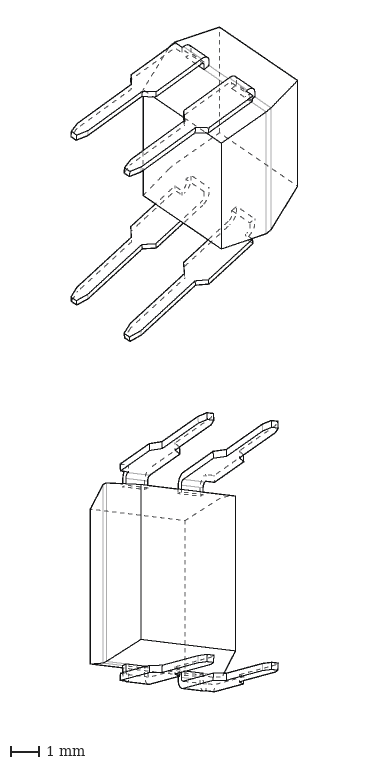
import cadquery as cq
import math

overall_height = 9.06
lead_reach = 6.30

housing_width = 4.6
housing_depth = 4.0
housing_length = 6.5
draft_angle = 13.0
band_thickness = 0.26

lead_thickness = band_thickness
lead_pitch = 2.54
splay_angle = math.radians(5.7)
bend_inner_radius = 0.175
bend_outer_radius = bend_inner_radius + lead_thickness

pin_width = 0.51
pin_tip_width = 0.26
pin_center = lead_pitch / 2
pin_inner_edge = pin_center - pin_width / 2
pin_outer_edge = pin_center + pin_width / 2
tip_inner_edge = pin_center - pin_tip_width / 2
tip_outer_edge = pin_center + pin_tip_width / 2
shoulder_inner_edge = 0.66
shoulder_outer_edge = 1.857

bend_center_y = lead_thickness / 2 - bend_outer_radius
blade_start_y = bend_center_y + bend_outer_radius * math.sin(splay_angle)

blade_length = (
    lead_reach + blade_start_y - lead_thickness * math.sin(splay_angle)
) / math.cos(splay_angle)
shoulder_start = 0.065
shoulder_end = 2.39
shoulder_taper_length = 0.335
pin_start = shoulder_end + shoulder_taper_length
tip_taper_length = 0.46
tip_start = blade_length - tip_taper_length

blade_start_z = overall_height / 2 - blade_length * math.sin(splay_angle)
bend_center_z = blade_start_z - bend_outer_radius * math.cos(splay_angle)
housing_end_z = housing_length / 2


def make_housing():
    """Band with a frustum on its +Y and -Y faces."""
    half_depth = (housing_depth - band_thickness) / 2
    band = (
        cq.Workplane("XZ", origin=(0, band_thickness / 2, 0))
        .rect(housing_width, housing_length)
        .extrude(band_thickness)
    )
    front_half = (
        cq.Workplane("XZ", origin=(0, -band_thickness / 2, 0))
        .rect(housing_width, housing_length)
        .extrude(half_depth, taper=draft_angle)
    )
    return band.union(front_half).union(front_half.mirror("XZ"))


def bend_point(radius, angle):
    """Point (Y, Z) on the bend, with the angle measured from +Y toward +Z."""
    return (
        bend_center_y + radius * math.cos(angle),
        bend_center_z + radius * math.sin(angle),
    )


def make_lead_neck():
    """Straight stub that meets the housing end, and the bend toward -Y."""
    end_angle = math.pi / 2 - splay_angle
    middle_angle = end_angle / 2
    return (
        cq.Workplane("YZ", origin=(shoulder_inner_edge, 0, 0))
        .moveTo(lead_thickness / 2, housing_end_z)
        .lineTo(*bend_point(bend_outer_radius, 0))
        .threePointArc(
            bend_point(bend_outer_radius, middle_angle),
            bend_point(bend_outer_radius, end_angle),
        )
        .lineTo(*bend_point(bend_inner_radius, end_angle))
        .threePointArc(
            bend_point(bend_inner_radius, middle_angle),
            bend_point(bend_inner_radius, 0),
        )
        .lineTo(-lead_thickness / 2, housing_end_z)
        .close()
        .extrude(pin_outer_edge - shoulder_inner_edge)
    )


def make_lead_blade():
    """Splayed flat blade: wide shoulder, slim pin and tapered tip."""
    outer_face = cq.Plane(
        origin=(0, blade_start_y, blade_start_z),
        xDir=(1, 0, 0),
        normal=(0, math.sin(splay_angle), math.cos(splay_angle)),
    )
    outline = [
        (shoulder_inner_edge, 0),
        (shoulder_inner_edge, -shoulder_end),
        (pin_inner_edge, -pin_start),
        (pin_inner_edge, -tip_start),
        (tip_inner_edge, -blade_length),
        (tip_outer_edge, -blade_length),
        (pin_outer_edge, -tip_start),
        (pin_outer_edge, -pin_start),
        (shoulder_outer_edge, -shoulder_end),
        (shoulder_outer_edge, -shoulder_start),
        (pin_outer_edge, -shoulder_start),
        (pin_outer_edge, 0),
    ]
    return cq.Workplane(outer_face).polyline(outline).close().extrude(-lead_thickness)


def make_lead(at_left, at_bottom):
    """One lead, mirrored from the +X, +Z corner to the corner asked for."""
    lead = make_lead_neck().union(make_lead_blade())
    if at_left:
        lead = lead.mirror("YZ")
    if at_bottom:
        lead = lead.mirror("XY")
    return lead


housing = make_housing()

leads = []
for at_left in (False, True):
    for at_bottom in (False, True):
        leads.append(make_lead(at_left, at_bottom).solids().val())

result = cq.Compound.makeCompound([housing.solids().val(), *leads])